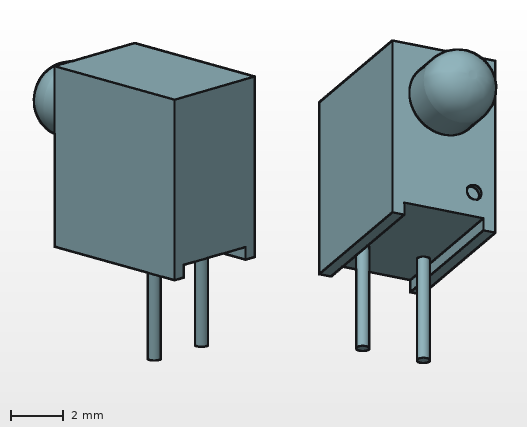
import cadquery as cq

HOUSING_DEPTH = 6.35
HOUSING_WIDTH = 4.32
HOUSING_HEIGHT = 7.11

FOOT_WIDTH = 0.5
FOOT_HEIGHT = 0.5

LAMP_LENGTH = 2.54
LAMP_DIAMETER = 2.9
DOME_RADIUS = LAMP_LENGTH / 2
LAMP_BELOW_TOP = 2.03
LAMP_Z = HOUSING_HEIGHT - LAMP_BELOW_TOP

LEAD_DIAMETER = 0.5
LEAD_PITCH = 2.54
LEAD_X = 4.4
LEAD_BELOW_FEET = 3.68
LEAD_LENGTH = FOOT_HEIGHT + LEAD_BELOW_FEET
LEAD_SIDES = (-1, 1)

MARK_DIAMETER = 0.6
MARK_DEPTH = 0.2
MARK_Y = -LEAD_PITCH / 2
MARK_ABOVE_CHANNEL = 1.0
MARK_Z = FOOT_HEIGHT + MARK_ABOVE_CHANNEL


def make_housing():
    """Block with a full-length channel underneath and a blind round mark in front."""
    block = cq.Workplane("XY").box(
        HOUSING_DEPTH, HOUSING_WIDTH, HOUSING_HEIGHT, centered=(False, True, False)
    )
    channel = cq.Workplane("XY").box(
        HOUSING_DEPTH, HOUSING_WIDTH - 2 * FOOT_WIDTH, FOOT_HEIGHT, centered=(False, True, False)
    )
    mark = (
        cq.Workplane("YZ")
        .center(MARK_Y, MARK_Z)
        .circle(MARK_DIAMETER / 2)
        .extrude(MARK_DEPTH)
    )
    return block.cut(channel).cut(mark)


def make_lamp():
    """Cylinder standing on the front face, rounded over to a small flat tip."""
    return (
        cq.Workplane("YZ")
        .center(0, LAMP_Z)
        .circle(LAMP_DIAMETER / 2)
        .extrude(-LAMP_LENGTH)
        .faces("<X")
        .edges()
        .fillet(DOME_RADIUS)
    )


def make_lead(side):
    """Straight round lead hanging from the channel ceiling, on the given Y side."""
    return (
        cq.Workplane("XY", origin=(LEAD_X, side * LEAD_PITCH / 2, FOOT_HEIGHT))
        .circle(LEAD_DIAMETER / 2)
        .extrude(-LEAD_LENGTH)
    )


housing = make_housing()
lamp = make_lamp()
leads = [make_lead(side) for side in LEAD_SIDES]

result = cq.Compound.makeCompound([housing.val(), lamp.val(), *[lead.val() for lead in leads]])